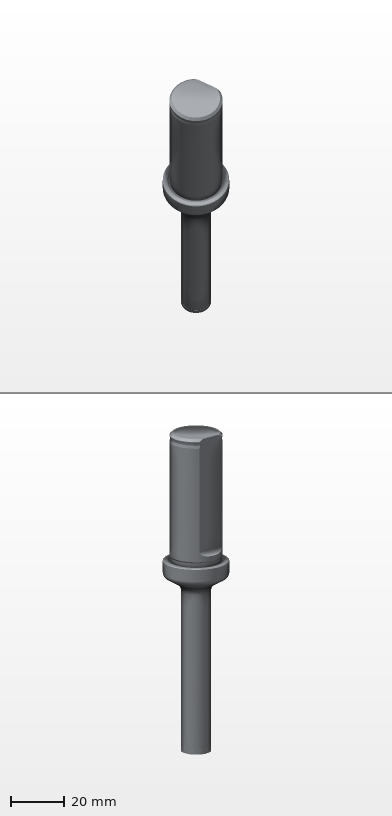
import cadquery as cq
import math

overall_length = 125.0
clamp_length = 50.0
flange_top = overall_length - clamp_length

shank_radius = 19.99 / 2
top_face_radius = 9.0
top_chamfer_height = 0.9
flat_distance = 8.15
flat_end_radius = 2.2
flat_end = flange_top + 3.9

groove_radius = 19.5 / 2
groove_top = overall_length - 1.2
groove_floor = overall_length - 2.4
groove_bottom = overall_length - 3.5

relief_top = flange_top + 2.0
relief_taper = 0.5
relief_outer_radius = 10.65
relief_depth = 0.2

flange_radius = 25.0 / 2
flange_chamfer = 0.2
rim_bottom = flange_top - 4.9
rim_fillet = 2.0
cone_angle = math.radians(30)

stem_radius = 11.3 / 2
neck_radius = 3.4
head_radius = 11.45 / 2
head_length = 2.0
point_radius = 2.19 / 2
point_height = 0.35


def point_on_arc(center_x, center_z, radius, angle):
    """Profile point at an angle, in radians from the +X direction, around an arc's center."""
    return (center_x + radius * math.cos(angle), center_z + radius * math.sin(angle))


def make_holder():
    """Shank, flange, cone and stem as one turned profile, with the drive flat cut afterwards."""
    arc_turn = math.pi / 2 - cone_angle

    rim_center_x = flange_radius - rim_fillet
    rim_mid = point_on_arc(rim_center_x, rim_bottom, rim_fillet, -arc_turn / 2)
    rim_end = point_on_arc(rim_center_x, rim_bottom, rim_fillet, -arc_turn)

    groove_depth = shank_radius - groove_radius
    groove_height = groove_top - groove_floor
    wall_radius = (groove_height**2 + groove_depth**2) / (2 * groove_depth)
    wall_turn = math.asin(groove_height / wall_radius)
    groove_mid = point_on_arc(
        groove_radius + wall_radius, groove_floor, wall_radius, math.pi - wall_turn / 2
    )

    corner_z = rim_end[1] - (rim_end[0] - stem_radius) * math.tan(cone_angle)
    neck_center_x = stem_radius + neck_radius
    neck_end_z = corner_z - neck_radius * math.tan(arc_turn / 2)
    neck_start = point_on_arc(neck_center_x, neck_end_z, neck_radius, math.pi - arc_turn)
    neck_mid = point_on_arc(neck_center_x, neck_end_z, neck_radius, math.pi - arc_turn / 2)

    profile = (
        cq.Workplane("XZ")
        .moveTo(0, overall_length)
        .lineTo(top_face_radius, overall_length)
        .lineTo(shank_radius, overall_length - top_chamfer_height)
        .lineTo(shank_radius, groove_top)
        .threePointArc(groove_mid, (groove_radius, groove_floor))
        .lineTo(shank_radius, groove_bottom)
        .lineTo(shank_radius, relief_top)
        .lineTo(groove_radius, relief_top - relief_taper)
        .lineTo(groove_radius, flange_top - relief_depth)
        .lineTo(relief_outer_radius - relief_depth, flange_top - relief_depth)
        .lineTo(relief_outer_radius, flange_top)
        .lineTo(flange_radius - flange_chamfer, flange_top)
        .lineTo(flange_radius, flange_top - flange_chamfer)
        .lineTo(flange_radius, rim_bottom)
        .threePointArc(rim_mid, rim_end)
        .lineTo(*neck_start)
        .threePointArc(neck_mid, (stem_radius, neck_end_z))
        .lineTo(stem_radius, head_length)
        .lineTo(0, head_length)
        .close()
    )
    return profile.revolve(360, (0, 0, 0), (0, 1, 0)).cut(make_flat_cutter())


def make_flat_cutter():
    """Block that leaves the flat on the +Y side, with a concave round at its lower end."""
    block_height = overall_length - flat_end
    return (
        cq.Workplane("XY", origin=(0, flat_distance + shank_radius / 2, flat_end))
        .box(2 * shank_radius, shank_radius, block_height, centered=(True, True, False))
        .edges("<Y and <Z")
        .fillet(flat_end_radius)
    )


def make_head():
    """Cutting head: a short cylinder with a shallow conical point."""
    profile = (
        cq.Workplane("XZ")
        .lineTo(point_radius, 0)
        .lineTo(head_radius, point_height)
        .lineTo(head_radius, head_length)
        .lineTo(0, head_length)
        .close()
    )
    return profile.revolve(360, (0, 0, 0), (0, 1, 0))


holder = make_holder()
head = make_head()
result = cq.Compound.makeCompound([holder.val(), head.val()])